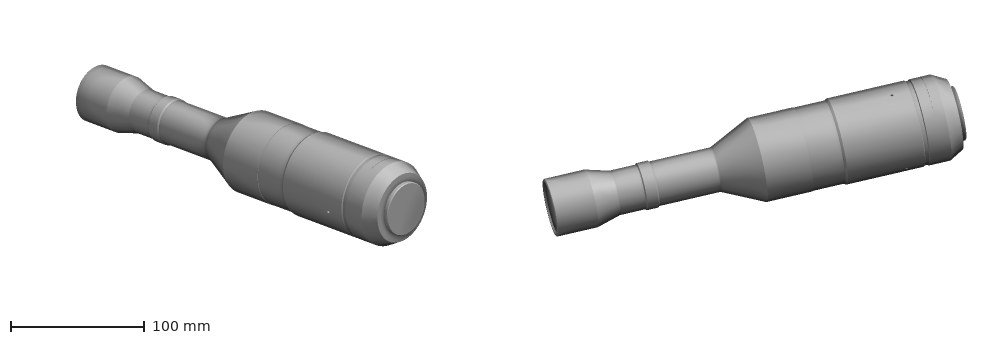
import cadquery as cq
import math

head_end = 31.5
neck_start = 50.0
band_start = 70.0
band_end = 80.5
cone_start = 127.8
cone_end = 159.8
sleeve_start = 195.0
sleeve_end = 219.5
barrel_start = 221.5
groove_start = 281.5
groove_end = 284.5
tail_taper_start = 301.5
tail_taper_end = 312.3
length = 316.5

head_radius = 22.0
neck_radius = 17.0
band_radius = 18.0
cone_top_radius = 32.3
sleeve_step = 0.3
sleeve_radius = cone_top_radius - sleeve_step
barrel_diameter = 66.0
barrel_radius = barrel_diameter / 2
groove_radius = 32.3
tail_radius = 27.2
mount_radius = 21.0

band_chamfer = 1.0
groove_chamfer = 0.5
mount_chamfer = 0.5
head_chamfer = 0.5
cone_blend = 0.5

lens_radius = 20.0
lens_depth = 1.5
lens_rise = 1.3

screw_x = 267.0
screw_diameter = 2.2
screw_depth = 1.5
screw_count = 3
first_screw_angle = 71.0

index_x = 293.3
index_width = 1.0
index_depth = 0.3
index_start_angle = -67.0
index_sweep = 180.0

cut_clearance = 1.5


def around_axis(profile, sweep):
    """Revolve a closed profile in the XY plane about the X axis."""
    return profile.revolve(sweep, (0, 0, 0), (1, 0, 0))


def make_body():
    lens_sphere_radius = (lens_radius**2 + lens_rise**2) / (2 * lens_rise)
    lens_apex = lens_depth - lens_rise
    mid_radius = lens_radius / 2
    mid_x = lens_apex + lens_sphere_radius - math.sqrt(lens_sphere_radius**2 - mid_radius**2)
    cone_slope = math.atan2(cone_top_radius - neck_radius, cone_end - cone_start)
    blend_end = (
        cone_start + cone_blend * math.cos(cone_slope),
        neck_radius + cone_blend * math.sin(cone_slope),
    )
    profile = (
        cq.Workplane("XY")
        .moveTo(lens_apex, 0)
        .threePointArc((mid_x, mid_radius), (lens_depth, lens_radius))
        .lineTo(0, lens_radius)
        .lineTo(0, head_radius - head_chamfer)
        .lineTo(head_chamfer, head_radius)
        .lineTo(head_end, head_radius)
        .lineTo(neck_start, neck_radius)
        .lineTo(band_start, neck_radius)
        .lineTo(band_start + band_chamfer, band_radius)
        .lineTo(band_end - band_chamfer, band_radius)
        .lineTo(band_end, neck_radius)
        .lineTo(cone_start - cone_blend, neck_radius)
        .tangentArcPoint(blend_end, relative=False)
        .lineTo(cone_end, cone_top_radius)
        .lineTo(sleeve_start, cone_top_radius)
        .lineTo(sleeve_start, sleeve_radius)
        .lineTo(sleeve_end, sleeve_radius)
        .lineTo(barrel_start, barrel_radius)
        .lineTo(groove_start - groove_chamfer, barrel_radius)
        .lineTo(groove_start, groove_radius)
        .lineTo(groove_end, groove_radius)
        .lineTo(groove_end + groove_chamfer, barrel_radius)
        .lineTo(tail_taper_start, barrel_radius)
        .lineTo(tail_taper_end, tail_radius)
        .lineTo(tail_taper_end, mount_radius - mount_chamfer)
        .lineTo(tail_taper_end + mount_chamfer, mount_radius)
        .lineTo(length - mount_chamfer, mount_radius)
        .lineTo(length, mount_radius - mount_chamfer)
        .lineTo(length, 0)
        .close()
    )
    return around_axis(profile, 360)


def make_screw_hole(angle):
    """Radial drill, extruded outward along +Y from the hole floor, then turned to its angle."""
    floor_radius = barrel_radius - screw_depth
    drill = cq.Workplane("ZX", origin=(screw_x, floor_radius, 0)).circle(screw_diameter / 2)
    return drill.extrude(screw_depth + cut_clearance).rotate((0, 0, 0), (1, 0, 0), angle)


def make_index_cut():
    height = index_depth + cut_clearance
    middle_radius = barrel_radius - index_depth + height / 2
    section = cq.Workplane("XY").moveTo(index_x, middle_radius).rect(index_width, height)
    arc_cut = around_axis(section, index_sweep)
    return arc_cut.rotate((0, 0, 0), (1, 0, 0), index_start_angle)


result = make_body()
for screw in range(screw_count):
    result = result.cut(make_screw_hole(first_screw_angle + screw * 360 / screw_count))
result = result.cut(make_index_cut())